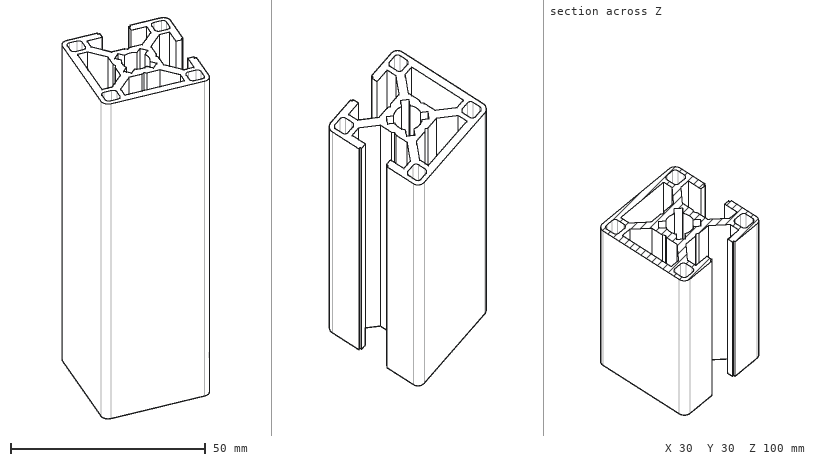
import cadquery as cq
import math

side = 30.0
length = 100.0
outer_radius = 2.0
half_side = side / 2

wall = 2.2
channel_half = 8.3
core_half = 6.0
strut_width = 2.4
strut_offset = strut_width / math.sqrt(2)
core_flat_half = core_half - strut_offset
channel_top = half_side - wall
shoulder = channel_half + strut_offset

groove_half = 0.7
groove_depth = 0.4

slot_width = 8.0
lip_step = 0.5

hole_side = 4.1
hole_radius = 1.0
hole_offset = 11.7

bore_radius = 3.7
bore_slot_width = 2.2
bore_slot_reach = 5.4

channel_angles = (0, 90, 180, 270)
open_angles = (0, 90)


def make_blank():
    blank = cq.Workplane("XY").rect(side, side).extrude(length)
    return blank.edges("|Z").fillet(outer_radius)


def make_channel():
    """Channel on the +Y side, with a V groove in its floor."""
    return (
        cq.Workplane("XY")
        .moveTo(-channel_half, channel_top)
        .lineTo(-channel_half, shoulder)
        .lineTo(-core_flat_half, core_half)
        .lineTo(-groove_half, core_half)
        .lineTo(0, core_half - groove_depth)
        .lineTo(groove_half, core_half)
        .lineTo(core_flat_half, core_half)
        .lineTo(channel_half, shoulder)
        .lineTo(channel_half, channel_top)
        .close()
        .extrude(length)
    )


def make_slot_mouth():
    """Opening through the +Y wall, with a square step along each outer lip edge."""
    half_width = slot_width / 2
    step_floor = half_side - lip_step
    return (
        cq.Workplane("XY")
        .moveTo(-half_width, shoulder)
        .lineTo(half_width, shoulder)
        .lineTo(half_width, step_floor)
        .lineTo(half_width + lip_step, step_floor)
        .lineTo(half_width + lip_step, half_side)
        .lineTo(-half_width - lip_step, half_side)
        .lineTo(-half_width - lip_step, step_floor)
        .lineTo(-half_width, step_floor)
        .close()
        .extrude(length)
    )


def make_corner_holes():
    holes = (
        cq.Workplane("XY")
        .rect(2 * hole_offset, 2 * hole_offset, forConstruction=True)
        .vertices()
        .rect(hole_side, hole_side)
        .extrude(length)
    )
    return holes.edges("|Z").fillet(hole_radius)


def make_bore():
    bore = cq.Workplane("XY").circle(bore_radius).extrude(length)
    for angle in (45, 135):
        slot = cq.Workplane("XY").rect(2 * bore_slot_reach, bore_slot_width).extrude(length)
        bore = bore.union(slot.rotate((0, 0, 0), (0, 0, 1), angle))
    return bore


result = make_blank().cut(make_corner_holes()).cut(make_bore())
for angle in channel_angles:
    result = result.cut(make_channel().rotate((0, 0, 0), (0, 0, 1), angle))
for angle in open_angles:
    result = result.cut(make_slot_mouth().rotate((0, 0, 0), (0, 0, 1), angle))